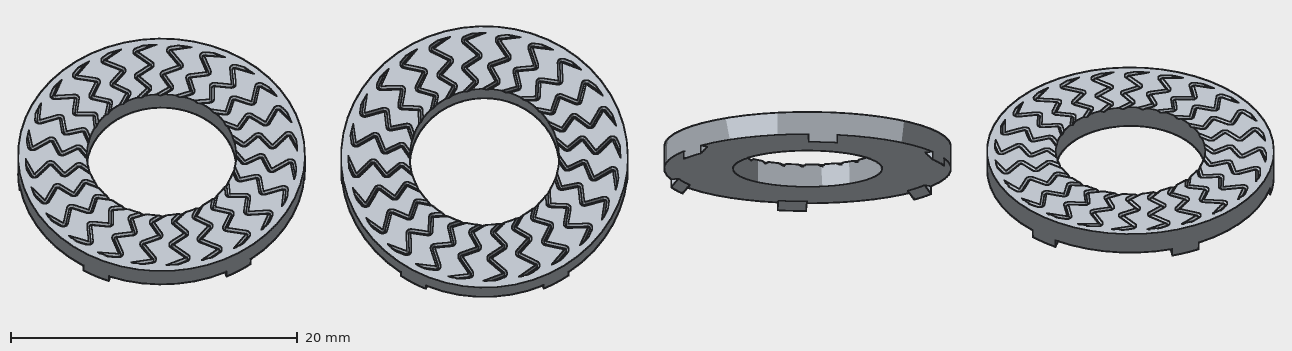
import cadquery as cq

OUTER_RADIUS = 10
HOLE_RADIUS = 5.2
OVERALL_HEIGHT = 2.15
FOOT_HEIGHT = 0.55
FOOT_WIDTH = 2
FOOT_COUNT = 6
RING_HEIGHT = OVERALL_HEIGHT - FOOT_HEIGHT

GROOVE_COUNT = 24
GROOVE_WIDTH = 0.32
GROOVE_DEPTH = GROOVE_WIDTH / 2
GROOVE_BEND_RADIUS = 0.18
GROOVE_LIMIT_RADIUS = 9.48
GROOVE_PATH = [(-0.12, 9.65), (1.55, 8.98), (0.22, 7.75), (1.48, 6.85), (0.52, 5.78), (1.42, 4.8)]

def make_footed_ring():
    """Ring whose feet are wedges flush with the rim, each tapering at 45 degrees to a sharp lower edge."""
    section = [
        (HOLE_RADIUS, RING_HEIGHT),
        (OUTER_RADIUS, RING_HEIGHT),
        (OUTER_RADIUS, -FOOT_HEIGHT),
        (OUTER_RADIUS - FOOT_HEIGHT, 0),
        (HOLE_RADIUS, 0),
    ]
    ring = cq.Workplane("XZ").polyline(section).close().revolve(360, (0, 0, 0), (0, 1, 0))

    clearing = cq.Workplane("XY").circle(2 * OUTER_RADIUS).extrude(-2 * FOOT_HEIGHT)
    bar = cq.Workplane("XY").box(3 * OUTER_RADIUS, FOOT_WIDTH, 6 * FOOT_HEIGHT)
    for index in range(FOOT_COUNT // 2):
        clearing = clearing.cut(bar.rotate((0, 0, 0), (0, 0, 1), index * 360 / FOOT_COUNT))
    return ring.cut(clearing)


def make_groove_cutter():
    """V-section cutter swept along the zigzag with rounded bends."""
    floor_z = RING_HEIGHT - GROOVE_DEPTH
    points = [cq.Vector(sideways, -radial, floor_z) for sideways, radial in GROOVE_PATH]
    path = cq.Wire.makePolygon(points).fillet(GROOVE_BEND_RADIUS)

    direction = points[1] - points[0]
    across = direction.cross(cq.Vector(0, 0, 1))
    start_plane = cq.Plane(origin=points[0], xDir=across, normal=direction)
    half_width = GROOVE_WIDTH / 2
    cutter = (
        cq.Workplane(start_plane)
        .polyline([(0, 0), (half_width, -GROOVE_DEPTH), (-half_width, -GROOVE_DEPTH)])
        .close()
        .sweep(path)
    )
    limit = cq.Workplane("XY").circle(GROOVE_LIMIT_RADIUS).extrude(OVERALL_HEIGHT)
    return cutter.intersect(limit)


result = make_footed_ring()
groove_cutter = make_groove_cutter()
for index in range(GROOVE_COUNT):
    result = result.cut(groove_cutter.rotate((0, 0, 0), (0, 0, 1), index * 360 / GROOVE_COUNT))